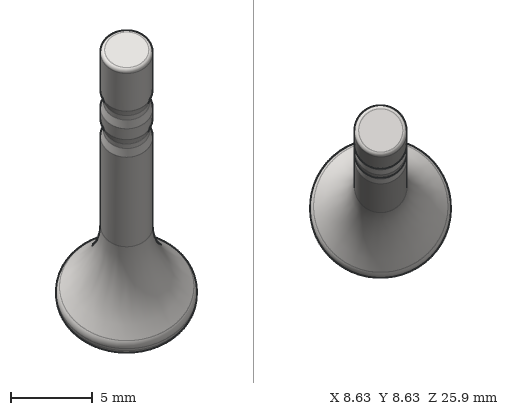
import cadquery as cq
import math

length = 25.9
stem_radius = 1.6
tip_rounding = 0.25

head_radius = 8.63 / 2
rim_rounding = 0.78
rim_height = 0.2

flare_top = 7.8

groove_radius = 1.43
groove_bottoms = [17.02, 19.95]
groove_lower_slope = 0.65
groove_floor = 0.47
groove_upper_slope = 0.7


def point_on_circle(center, radius, angle):
    return (center[0] + radius * math.cos(angle), center[1] + radius * math.sin(angle))


def make_body():
    """Revolve the stem, flare and rounded head as one profile."""
    rim_top = rim_rounding + rim_height
    lower_center = (head_radius - rim_rounding, rim_rounding)
    upper_center = (head_radius - rim_rounding, rim_top)

    rise = flare_top - rim_top
    offset = upper_center[0] - stem_radius
    flare_radius = (offset**2 + rise**2 - rim_rounding**2) / (2 * (offset + rim_rounding))
    flare_center = (stem_radius + flare_radius, flare_top)
    blend_angle = math.asin(rise / (flare_radius + rim_rounding))

    profile = (
        cq.Workplane("XZ")
        .lineTo(lower_center[0], 0)
        .threePointArc(
            point_on_circle(lower_center, rim_rounding, -math.pi / 4),
            (head_radius, rim_rounding),
        )
        .lineTo(head_radius, rim_top)
        .threePointArc(
            point_on_circle(upper_center, rim_rounding, blend_angle / 2),
            point_on_circle(upper_center, rim_rounding, blend_angle),
        )
        .threePointArc(
            point_on_circle(flare_center, flare_radius, math.pi + blend_angle / 2),
            (stem_radius, flare_top),
        )
        .lineTo(stem_radius, length)
        .lineTo(0, length)
        .close()
    )
    return profile.revolve(360, (0, 0, 0), (0, 1, 0)).faces(">Z").edges().fillet(tip_rounding)


def make_groove(bottom):
    """Ring of material removed from the stem by one groove."""
    floor_bottom = bottom + groove_lower_slope
    floor_top = floor_bottom + groove_floor
    top = floor_top + groove_upper_slope
    section = cq.Workplane("XZ").polyline(
        [
            (stem_radius, bottom),
            (groove_radius, floor_bottom),
            (groove_radius, floor_top),
            (stem_radius, top),
        ]
    )
    return section.close().revolve(360, (0, 0, 0), (0, 1, 0))


result = make_body()
for groove_bottom in groove_bottoms:
    result = result.cut(make_groove(groove_bottom))